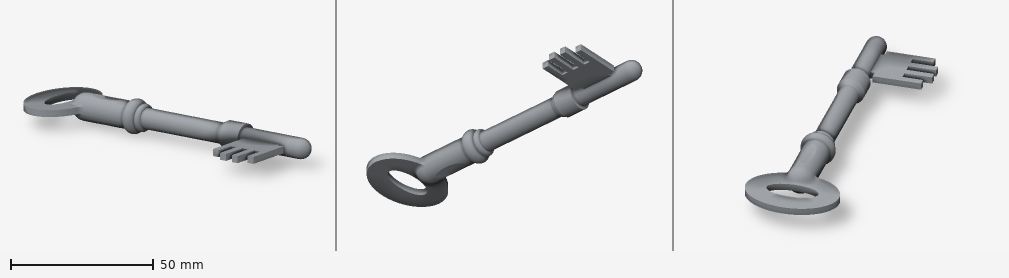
import cadquery as cq
import math

total_length = 119.98
plate_thickness = 2.54

bow_half_width = 11.85
bow_half_height = 17.15
bow_hole_half_width = 4.1
bow_hole_half_height = 9.5

rod_radius = 3.81
shank_radius = 5.08
large_bead_radius = 2.54
small_bead_radius = 1.27
bow_fillet_radius = 1.27

stem_length = 93.98
nose_length = 24.13
drum_length = 7.62
tip_x = total_length - rod_radius
dome_x = tip_x - stem_length
drum_end_x = tip_x - nose_length
drum_start_x = drum_end_x - drum_length
drum_cone_length = 2.54
large_bead_x = 43.75
small_bead_x = 47.35

hollow_x = 31.75
hollow_radius = 44.45
hollow_depth = 0.5

tooth_width = 2.54
tooth_lengths = (7.62, 10.16, 10.16, 7.62)
bit_start_x = drum_end_x + tooth_width
bit_width = (2 * len(tooth_lengths) - 1) * tooth_width
bit_top_y = -5.08
bit_root_y = -15.24
neck_inset = 2.54


def plate_box(x_start, x_end, y_start, y_end):
    """Rectangular plate centred on the XY plane."""
    return (
        cq.Workplane("XY")
        .box(x_end - x_start, y_end - y_start, plate_thickness)
        .translate(((x_start + x_end) / 2, (y_start + y_end) / 2, 0))
    )


def revolve_about_x(profile):
    return profile.close().revolve(360, (0, 0, 0), (1, 0, 0))


def make_bow():
    return (
        cq.Workplane("XY", origin=(bow_half_width, 0, -plate_thickness / 2))
        .ellipse(bow_half_width, bow_half_height)
        .ellipse(bow_hole_half_width, bow_hole_half_height)
        .extrude(plate_thickness)
    )


def make_shank():
    """Round shank with a hemispherical end that runs into the bow."""
    diagonal = shank_radius * math.sqrt(0.5)
    profile = (
        cq.Workplane("XY")
        .moveTo(dome_x - shank_radius, 0)
        .threePointArc((dome_x - diagonal, diagonal), (dome_x, shank_radius))
        .lineTo(large_bead_x, shank_radius)
        .lineTo(large_bead_x, 0)
    )
    return revolve_about_x(profile)


def make_rod():
    """Plain rod with a hemispherical tip, starting inside the beads."""
    diagonal = rod_radius * math.sqrt(0.5)
    profile = (
        cq.Workplane("XY")
        .moveTo(large_bead_x, 0)
        .lineTo(large_bead_x, rod_radius)
        .lineTo(tip_x, rod_radius)
        .threePointArc((tip_x + diagonal, diagonal), (total_length, 0))
    )
    return revolve_about_x(profile)


def make_bead(x, bead_radius):
    """Half-round bead standing on the rod surface."""
    profile = (
        cq.Workplane("XY")
        .moveTo(x - bead_radius, 0)
        .lineTo(x - bead_radius, rod_radius)
        .threePointArc((x, rod_radius + bead_radius), (x + bead_radius, rod_radius))
        .lineTo(x + bead_radius, 0)
    )
    return revolve_about_x(profile)


def make_drum():
    """Thick drum with a conical lead-in on the bow side."""
    profile = (
        cq.Workplane("XY")
        .moveTo(drum_start_x - drum_cone_length, 0)
        .lineTo(drum_start_x - drum_cone_length, rod_radius)
        .lineTo(drum_start_x, shank_radius)
        .lineTo(drum_end_x, shank_radius)
        .lineTo(drum_end_x, 0)
    )
    return revolve_about_x(profile)


def make_hollow_cutter(side):
    """Large cylinder across the shank that grinds a shallow hollow; side is +1 or -1 along Z."""
    axis_height = side * (shank_radius - hollow_depth + hollow_radius)
    return (
        cq.Workplane("XZ", origin=(hollow_x, 0, axis_height))
        .circle(hollow_radius)
        .extrude(shank_radius, both=True)
    )


def make_bit():
    """Toothed bit hanging from the rod on a narrower neck."""
    bit_end_x = bit_start_x + bit_width
    bit = plate_box(bit_start_x, bit_end_x, bit_root_y, bit_top_y)
    bit = bit.union(plate_box(bit_start_x + neck_inset, bit_end_x - neck_inset, bit_top_y, 0))
    for index, tooth_length in enumerate(tooth_lengths):
        tooth_x = bit_start_x + 2 * index * tooth_width
        bit = bit.union(plate_box(tooth_x, tooth_x + tooth_width, bit_root_y - tooth_length, bit_root_y))
    return bit


def fillet_bow_joint(handle):
    """Round the closed seam where the bow meets the shank."""
    reach = shank_radius + bow_fillet_radius
    seam_box = cq.selectors.BoxSelector(
        (dome_x - reach, -reach, -plate_thickness),
        (dome_x + reach, reach, plate_thickness),
        boundingbox=True,
    )
    bow_hole_edges = cq.selectors.BoxSelector(
        (0, -bow_half_height, -plate_thickness),
        (bow_half_width + bow_hole_half_width, bow_half_height, plate_thickness),
    )
    return handle.edges(seam_box - bow_hole_edges).fillet(bow_fillet_radius)


handle = fillet_bow_joint(make_bow().union(make_shank()))
for side in (1, -1):
    handle = handle.cut(make_hollow_cutter(side))

result = (
    handle.union(make_rod())
    .union(make_bead(large_bead_x, large_bead_radius))
    .union(make_bead(small_bead_x, small_bead_radius))
    .union(make_drum())
    .union(make_bit())
)